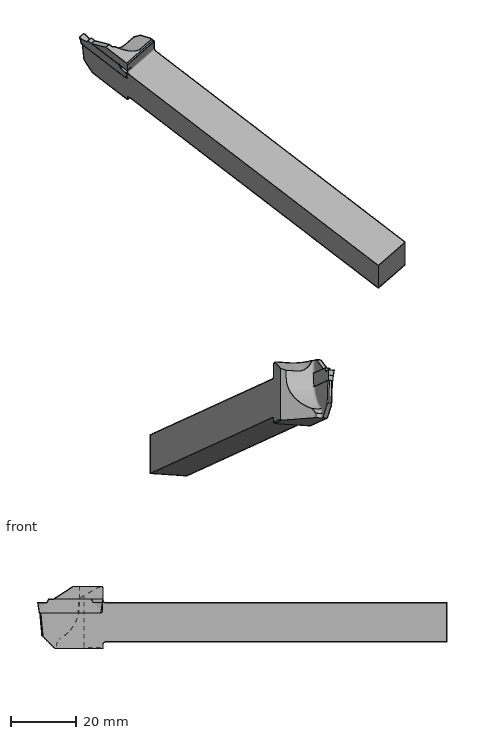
import cadquery as cq
import math

length = 125.0
shank_size = 12.0
head_length = 20.0
head_bottom = -2.0
head_top = shank_size + 5.0
head_chamfer = 0.4
shoulder_radius = 0.8
margin = 2.5
selection_gap = 0.1

blade_thickness = 1.5
blade_front_top = 0.6
blade_front_bottom = 1.2
blade_front_bottom_z = 2.0
blade_toe_x = 5.2
blade_bevel = 0.4

jaw_nose_x = 4.9
jaw_ramp_end_x = 10.9

seat_bottom = 8.9
seat_top = 13.1
seat_end_x = 19.8
seat_corner_radius = 0.5
tip_overhang = 0.2
tip_length = 1.1
tip_neck_x = 2.5
tip_height = 1.6
insert_end_clearance = 0.5
rib_start_x = 2.8
rib_flat_x = 3.4

relief_foot_x = 5.8
relief_foot_z = -0.6
relief_arc_start_x = 6.6
relief_arc_start_z = 0.9
relief_wall_x = 12.8
relief_radius = 12.8
relief_wall_z = 11.5
relief_middle_angle = math.radians(30)
relief_fillet = 0.9
corner_cut_y = 3.6

scoop_floor_z = 13.4
scoop_radius = 5.4
scoop_flat_y = 7.0
scoop_angle = math.radians(30)


def front_prism(points, y_start, y_end):
    """Extrude an XZ outline between two Y positions."""
    return (cq.Workplane("XZ", origin=(0, y_start, 0))
            .polyline(points).close().extrude(y_start - y_end))


def make_relief():
    """Space behind the blade, with a concave wall and a rounded root."""
    angle = relief_middle_angle
    arc_middle = (
        relief_wall_x - relief_radius * (1 - math.cos(angle)),
        relief_wall_z - relief_radius * math.sin(angle),
    )
    relief = (
        cq.Workplane("XZ", origin=(0, blade_thickness, 0))
        .moveTo(-margin, head_bottom - margin)
        .lineTo(relief_foot_x, head_bottom - margin)
        .lineTo(relief_foot_x, relief_foot_z)
        .lineTo(relief_arc_start_x, relief_arc_start_z)
        .threePointArc(arc_middle, (relief_wall_x, relief_wall_z))
        .lineTo(relief_wall_x, head_top + margin)
        .lineTo(-margin, head_top + margin)
        .close()
        .extrude(-shank_size - margin)
    )
    return relief.faces("<Y").edges().fillet(relief_fillet)


def make_scoop():
    """Trough with one rounded side, rising towards the shank."""
    near_y = scoop_flat_y - scoop_radius
    diagonal = scoop_radius * math.sqrt(0.5)
    reach = head_length - relief_wall_x
    plane = cq.Plane(
        origin=(relief_wall_x, 0, scoop_floor_z),
        xDir=(0, 1, 0),
        normal=(math.cos(scoop_angle), 0, math.sin(scoop_angle)),
    )
    return (
        cq.Workplane(plane)
        .moveTo(shank_size + margin, 0)
        .lineTo(scoop_flat_y, 0)
        .threePointArc((scoop_flat_y - diagonal, scoop_radius - diagonal), (near_y, scoop_radius))
        .lineTo(shank_size + margin, scoop_radius)
        .close()
        .extrude(reach, both=True)
    )


def make_corner_cut():
    """45 degree cut across the rear front corner of the head."""
    far_y = shank_size + margin
    return (
        cq.Workplane("XY", origin=(0, 0, head_bottom - margin))
        .polyline([
            (relief_foot_x, corner_cut_y),
            (relief_foot_x + far_y - corner_cut_y, far_y),
            (relief_foot_x, far_y),
        ])
        .close()
        .extrude(head_top - head_bottom + 2 * margin)
    )


def make_head():
    """Head plate with the jaw on top, before the reliefs are cut."""
    head = front_prism([
        (blade_front_top, seat_bottom),
        (blade_front_bottom, blade_front_bottom_z),
        (blade_toe_x, head_bottom),
        (head_length, head_bottom),
        (head_length, head_top),
        (jaw_ramp_end_x, head_top),
        (jaw_nose_x, seat_top),
        (jaw_nose_x, seat_bottom),
    ], 0, shank_size)
    return (head.faces(">Z").edges(">X or >Y").chamfer(head_chamfer)
            .faces("<Z").edges(">Y").chamfer(head_chamfer))


def make_holder():
    """Square shank and head, with the insert seat cut into the front face."""
    shank_start = relief_wall_x
    shank = (cq.Workplane("XY")
             .box(length - shank_start, shank_size, shank_size, centered=False)
             .translate((shank_start, 0, 0)))
    holder = make_head().union(shank)
    for z in (0, shank_size):
        corner = cq.selectors.BoxSelector(
            (head_length - selection_gap, -margin, z - selection_gap),
            (head_length + selection_gap, shank_size + margin, z + selection_gap),
        )
        holder = holder.edges("|Y").edges(corner).fillet(shoulder_radius)
    holder = holder.cut(make_relief()).cut(make_scoop()).cut(make_corner_cut())
    seat = front_prism([
        (-margin, seat_bottom),
        (seat_end_x, seat_bottom),
        (seat_end_x, seat_top),
        (-margin, seat_top),
    ], -margin, blade_thickness + tip_overhang)
    seat = seat.faces(">X").edges("<Z").fillet(seat_corner_radius)
    holder = holder.cut(seat)
    front_edges = cq.selectors.BoxSelector(
        (0, -selection_gap, blade_front_bottom_z),
        (blade_front_bottom, blade_thickness + selection_gap, seat_bottom),
    )
    return holder.edges(front_edges).edges("not |Y").chamfer(blade_bevel)


def make_tip():
    """Wide cutting tip whose flanks taper inwards below the cutting edge."""
    tip_plan = [
        (0, -tip_overhang),
        (tip_length, -tip_overhang),
        (tip_neck_x, 0),
        (tip_neck_x, blade_thickness),
        (tip_length, blade_thickness + tip_overhang),
        (0, blade_thickness + tip_overhang),
    ]
    taper = math.degrees(math.atan(tip_overhang / tip_height))
    return (cq.Workplane("XY", origin=(0, 0, shank_size))
            .polyline(tip_plan).close().extrude(-tip_height, taper=taper))


def make_insert():
    """Double-ended grooving insert, symmetric about its middle."""
    half = front_prism([
        (0, shank_size),
        (rib_start_x, shank_size),
        (rib_flat_x, seat_top),
        (seat_end_x / 2, seat_top),
        (seat_end_x / 2, seat_bottom),
        (insert_end_clearance, seat_bottom),
    ], 0, blade_thickness).union(make_tip())
    return half.union(half.mirror("YZ", (seat_end_x / 2, 0, 0)))


holder = make_holder()
insert = make_insert()
result = cq.Compound.makeCompound([holder.solids().val(), insert.solids().val()])